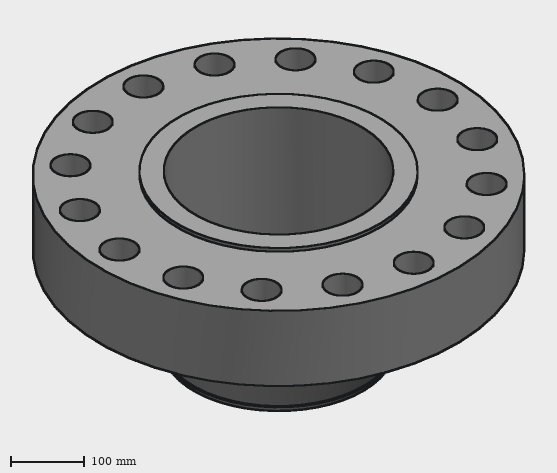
import cadquery as cq

flange_diameter = 673.0
total_height = 289.0
face_diameter = 381.0
face_height = 6.0
flange_thickness = 124.0
bore_diameter = 314.5

hub_base_diameter = 451.0
weld_end_diameter = 324.5
weld_end_length = 10.0
weld_bevel_height = 8.0
weld_bevel_width = 3.0
hub_fillet_radius = 17.0

bolt_count = 16
bolt_circle_diameter = 571.5
bolt_hole_diameter = 54.5

flange_top = total_height - face_height
flange_bottom = flange_top - flange_thickness


def make_hub():
    """Bevelled weld end followed by a cone up to the flange."""
    return (
        cq.Workplane("XZ")
        .lineTo(weld_end_diameter / 2 - weld_bevel_width, 0)
        .lineTo(weld_end_diameter / 2, weld_bevel_height)
        .lineTo(weld_end_diameter / 2, weld_end_length)
        .lineTo(hub_base_diameter / 2, flange_bottom)
        .lineTo(0, flange_bottom)
        .close()
        .revolve(360, (0, 0, 0), (0, 1, 0))
    )


def make_flange():
    """Flange disc with its raised sealing face."""
    return (
        cq.Workplane("XY", origin=(0, 0, flange_bottom))
        .circle(flange_diameter / 2)
        .extrude(flange_thickness)
        .faces(">Z")
        .workplane()
        .circle(face_diameter / 2)
        .extrude(face_height)
    )


def make_bolt_holes():
    return (
        cq.Workplane("XY", origin=(0, 0, flange_bottom))
        .polarArray(bolt_circle_diameter / 2, 0, 360, bolt_count)
        .circle(bolt_hole_diameter / 2)
        .extrude(flange_thickness)
    )


body = make_flange().union(make_hub())

body = body.edges(cq.selectors.RadiusNthSelector(-2)).fillet(hub_fillet_radius)

bore = cq.Workplane("XY").circle(bore_diameter / 2).extrude(total_height)
result = body.cut(bore).cut(make_bolt_holes())